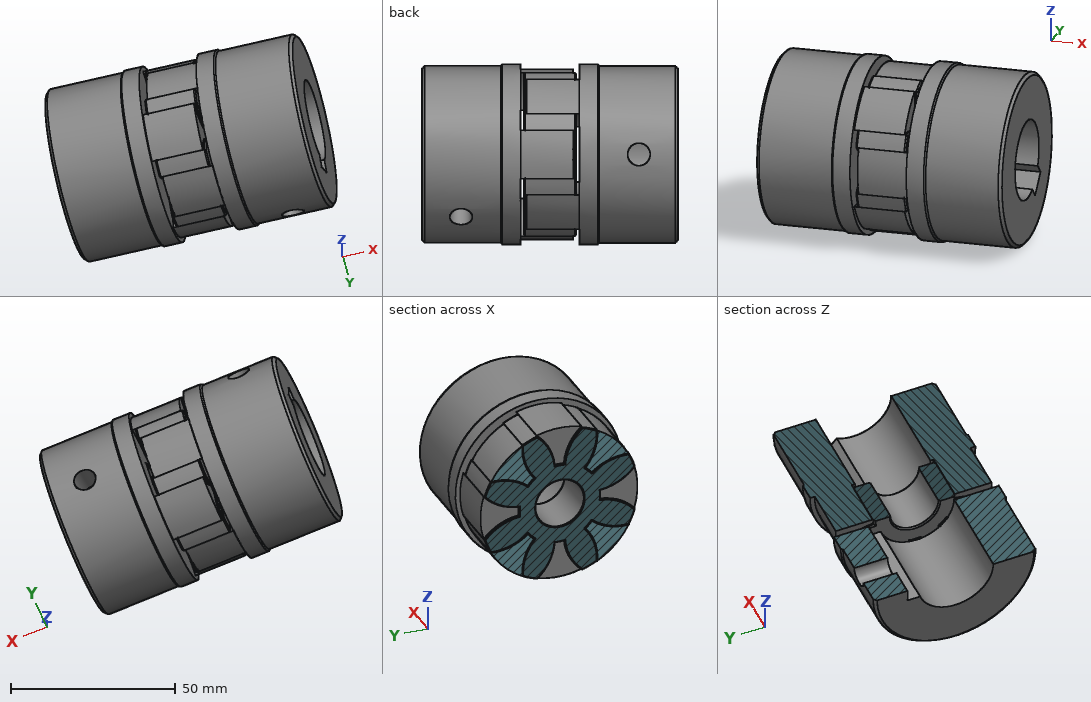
import cadquery as cq
import math


total_length = 78.0
hub_gap = 17.95
hub_length = (total_length - hub_gap) / 2
collar_diameter = 55.0
collar_radius = collar_diameter / 2
collar_width = 6.0
collar_step = 0.5
body_radius = collar_radius - collar_step
end_chamfer = 0.9
bore_radius = 12.5
keyway_width = 8.0
keyway_floor = 15.9

screw_radius = 3.4
screw_distance = 11.9

jaw_count = 4
jaw_pitch = 360 / jaw_count
jaw_length = 16.0
jaw_radius = 26.0
jaw_root_radius = 13.5
jaw_root_half_width = 1.55
flank_point = (15.9, 1.95)
flank_end_angle = 18.9

spider_width = 15.9
spider_hole_radius = 7.95
spider_chamfer = 0.5


def cylinder(start, end, radius):
    """Cylinder on the X axis from start to end."""
    return cq.Workplane("YZ", origin=(start, 0, 0)).circle(radius).extrude(end - start)


def jaw_prism(start, length, angle):
    """Prism with hollow flanks, as far out as the collar, turned about X by the given angle from +Y."""
    half_angle = math.radians(flank_end_angle)
    end_y = collar_radius * math.cos(half_angle)
    end_z = collar_radius * math.sin(half_angle)
    root_y = math.sqrt(jaw_root_radius**2 - jaw_root_half_width**2)
    root_z = jaw_root_half_width
    flank_y, flank_z = flank_point
    return (
        cq.Workplane("YZ", origin=(start, 0, 0))
        .moveTo(root_y, -root_z)
        .threePointArc((flank_y, -flank_z), (end_y, -end_z))
        .threePointArc((collar_radius, 0), (end_y, end_z))
        .threePointArc((flank_y, flank_z), (root_y, root_z))
        .threePointArc((jaw_root_radius, 0), (root_y, -root_z))
        .close()
        .extrude(length)
        .rotate((0, 0, 0), (1, 0, 0), angle)
    )


def make_hub():
    """Hub with its outer end at X = 0, its keyway at +Y and its jaws pointing to +X."""
    collar_start = hub_length - collar_width
    profile = [
        (0, 0),
        (0, body_radius - end_chamfer),
        (end_chamfer, body_radius),
        (collar_start, body_radius),
        (collar_start + collar_step, collar_radius),
        (hub_length, collar_radius),
        (hub_length, 0),
    ]
    hub = cq.Workplane("XY").polyline(profile).close().revolve(360, (0, 0, 0), (1, 0, 0))
    jaw_envelope = cylinder(hub_length, hub_length + jaw_length, jaw_radius)
    for index in range(jaw_count):
        jaw = jaw_prism(hub_length, jaw_length, (index + 0.5) * jaw_pitch)
        hub = hub.union(jaw.intersect(jaw_envelope))

    keyway = cq.Workplane("XY").box(hub_length, keyway_floor, keyway_width, centered=(False, False, True))
    hub = hub.cut(cylinder(0, hub_length, bore_radius)).cut(keyway)

    screw_hole = (
        cq.Workplane("XZ")
        .center(screw_distance, 0)
        .circle(screw_radius)
        .extrude(-collar_radius)
    )
    return hub.cut(screw_hole)


def make_spider():
    """Holed disc, cut by the jaws of both hubs, with all end edges chamfered."""
    start = (total_length - spider_width) / 2
    spider = cylinder(start, start + spider_width, jaw_radius)
    spider = spider.cut(cylinder(start, start + spider_width, spider_hole_radius))
    for index in range(2 * jaw_count):
        spider = spider.cut(jaw_prism(start, spider_width, index * jaw_pitch / 2))
    return spider.faces("<X or >X").chamfer(spider_chamfer)


left_hub = make_hub()
right_hub = (
    make_hub()
    .rotate((total_length / 2, 0, 0), (total_length / 2, 1, 0), 180)
    .rotate((0, 0, 0), (1, 0, 0), -jaw_pitch / 2)
)
spider = make_spider()

result = cq.Compound.makeCompound([left_hub.val(), right_hub.val(), spider.val()])